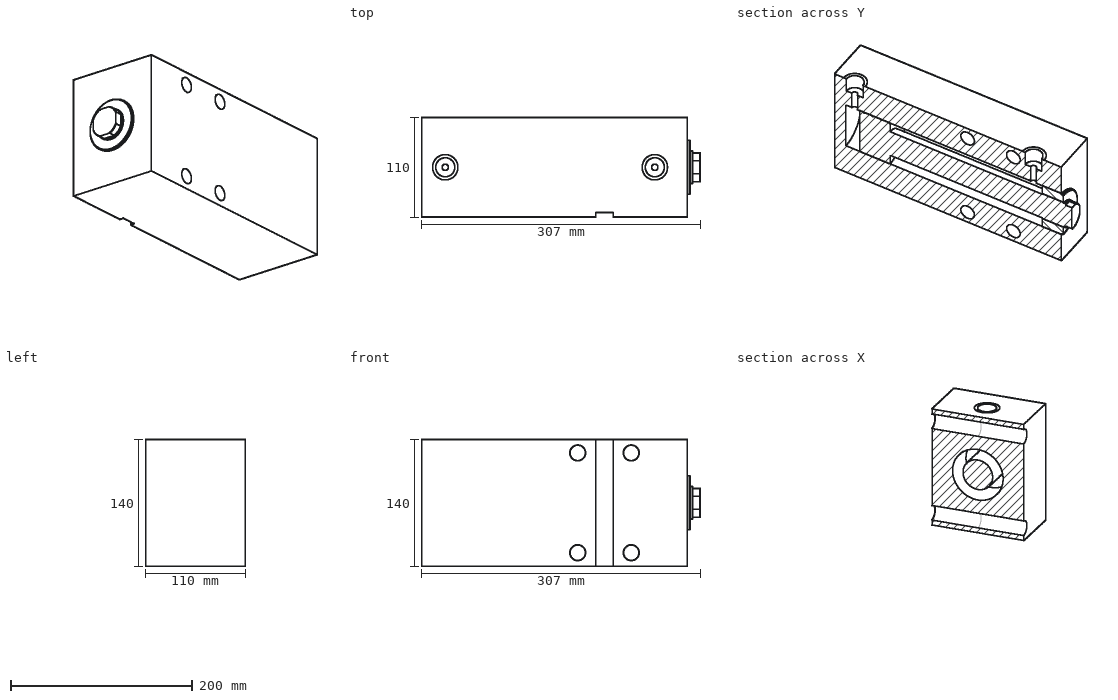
import cadquery as cq


block_length = 293.0
block_width = 110.0
block_height = 140.0

keyway_start = 192.0
keyway_width = 19.0
keyway_depth = 5.0

mount_hole_diameter = 17.0
mount_hole_xs = (172.0, 231.0)
mount_hole_z = 55.0

port_xs = (26.0, 257.0)
port_spotface_diameter = 28.0
port_spotface_depth = 0.1
port_thread_diameter = 21.0
port_thread_depth = 18.0
port_passage_diameter = 7.0

bore_diameter = 60.0
bore_start = 15.0

gland_protrusion = 3.0
gland_insertion = 25.0
gland_chamfer = 1.0

piston_start = 32.0
piston_length = 40.0
rod_diameter = 36.0
rod_shoulder_end = 298.75
rod_shoulder_chamfer = 0.5
rod_end = 307.0
rod_end_chamfer = 0.5
rod_flats_width = 32.0


def cylinder_along_x(start, end, diameter):
    """Cylinder on the X axis between two X positions."""
    plane = cq.Workplane("YZ", origin=(start, 0, 0))
    return plane.circle(diameter / 2).extrude(end - start)


def port_cutter(x):
    """Spotface, thread bore and narrow passage from the top face into the cylinder bore."""
    top = cq.Workplane("XY", origin=(x, 0, block_height / 2))
    spotface = top.circle(port_spotface_diameter / 2).extrude(-port_spotface_depth)
    thread = top.circle(port_thread_diameter / 2).extrude(-port_thread_depth)
    passage = top.circle(port_passage_diameter / 2).extrude(-block_height / 2)
    return spotface.union(thread).union(passage)


def make_housing():
    housing = cq.Workplane("XY").box(block_length, block_width, block_height)
    housing = housing.translate((block_length / 2, 0, 0))

    keyway = cq.Workplane("XY").box(keyway_width, 2 * keyway_depth, block_height)
    keyway_centre = keyway_start + keyway_width / 2
    housing = housing.cut(keyway.translate((keyway_centre, -block_width / 2, 0)))

    mount_hole_centres = [(x, z) for x in mount_hole_xs for z in (-mount_hole_z, mount_hole_z)]
    mount_holes = (
        cq.Workplane("XZ")
        .pushPoints(mount_hole_centres)
        .circle(mount_hole_diameter / 2)
        .extrude(block_width / 2, both=True)
    )
    housing = housing.cut(mount_holes)

    housing = housing.cut(cylinder_along_x(bore_start, block_length, bore_diameter))
    for x in port_xs:
        housing = housing.cut(port_cutter(x))
    return housing


def make_gland():
    gland = cylinder_along_x(block_length - gland_insertion, block_length + gland_protrusion, bore_diameter)
    gland = gland.faces(">X").chamfer(gland_chamfer)
    return gland.cut(cylinder_along_x(0, rod_end, rod_diameter))


def make_piston_rod():
    piston = cylinder_along_x(piston_start, piston_start + piston_length, bore_diameter)
    shank = cylinder_along_x(piston_start, rod_shoulder_end, rod_diameter)
    shank = shank.faces(">X").chamfer(rod_shoulder_chamfer)

    wrench_diameter = rod_diameter - 2 * rod_shoulder_chamfer
    wrench_end = cylinder_along_x(rod_shoulder_end, rod_end, wrench_diameter)
    wrench_end = wrench_end.faces(">X").chamfer(rod_end_chamfer)
    flats = cq.Workplane("YZ").rect(rod_flats_width, rod_flats_width).extrude(rod_end)
    wrench_end = wrench_end.intersect(flats)
    return piston.union(shank).union(wrench_end)


housing = make_housing()
gland = make_gland()
piston_rod = make_piston_rod()

result = cq.Compound.makeCompound([housing.val(), gland.val(), piston_rod.val()])